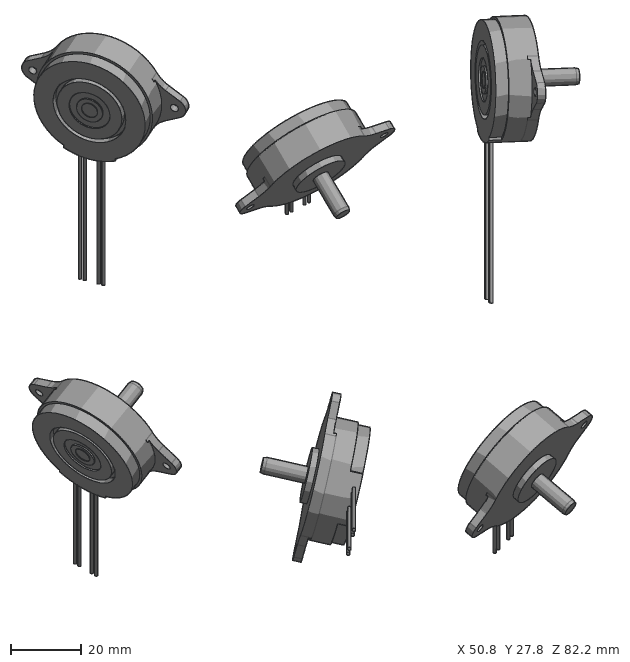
import cadquery as cq
import math


CAP_HEIGHT = 3.7
FLANGE_START = 9.6
EAR_START = 10.4
FLANGE_END = 12.9
PILOT_END = 14.8
SHAFT_END = 27.8

BODY_RADIUS = 18.0
CAP_RADIUS = 17.25
PILOT_RADIUS = 8.05
SHAFT_RADIUS = 2.5

TIP_CHAMFER_RADIAL = 0.25
TIP_CHAMFER_AXIAL = 1.0

OVERALL_WIDTH = 50.8
EAR_RADIUS = 3.45
EAR_CENTER = OVERALL_WIDTH / 2 - EAR_RADIUS
EAR_TAPER = math.radians(30)
EAR_BLEND_RADIUS = 10.7
EAR_HOLE_DIAMETER = 2.5
EAR_RELIEF_WIDTH = 16.8

GROOVE_OUTER_RADIUS = 11.25
GROOVE_INNER_RADIUS = 10.0
GROOVE_DEPTH = 2.0
RECESS_RADIUS = 6.3
RECESS_DEPTH = 0.5
BUSHING_RADIUS = 4.0
SHAFT_FACE_DEPTH = 0.25

OUTLET_WIDTH = 15.9
WIRE_DIAMETER = 1.0
WIRE_OFFSETS = (2.1, 3.6)
WIRE_LEVEL = 1.65
OVERALL_HEIGHT = 82.15
WIRE_END = BODY_RADIUS - OVERALL_HEIGHT
WIRE_EMBEDMENT = 2.5
WIRE_START = -BODY_RADIUS + WIRE_EMBEDMENT


def cylinder(radius, start, end):
    """Cylinder on the motor axis between two Y levels."""
    return cq.Workplane("XZ", origin=(0, start, 0)).circle(radius).extrude(start - end)


def polar(radius, angle):
    """Offsets along X and Z of a point given by radius and angle."""
    return radius * math.cos(angle), radius * math.sin(angle)


def flange():
    """Round flange with two tapered ears blended tangentially into it."""
    normal_angle = math.pi / 2 - EAR_TAPER
    flank_distance = EAR_CENTER * math.cos(normal_angle) + EAR_RADIUS
    blend_center_distance = BODY_RADIUS + EAR_BLEND_RADIUS
    spread = math.acos((flank_distance + EAR_BLEND_RADIUS) / blend_center_distance)
    blend_angle = normal_angle - spread
    center_x, center_z = polar(blend_center_distance, blend_angle)

    def on_blend(angle):
        dx, dz = polar(EAR_BLEND_RADIUS, angle + math.pi)
        return center_x + dx, center_z + dz

    tip_x, tip_z = polar(EAR_RADIUS, normal_angle)
    ear_start = (EAR_CENTER + tip_x, tip_z)
    flank_end = on_blend(normal_angle)
    blend_middle = on_blend((normal_angle + blend_angle) / 2)
    blend_end = on_blend(blend_angle)

    def flip(point, sign_x, sign_z):
        return sign_x * point[0], sign_z * point[1]

    outline = (
        cq.Workplane("XZ", origin=(0, FLANGE_START, 0))
        .moveTo(*flip(ear_start, 1, -1))
        .threePointArc((OVERALL_WIDTH / 2, 0), ear_start)
        .lineTo(*flank_end)
        .threePointArc(blend_middle, blend_end)
        .threePointArc((0, BODY_RADIUS), flip(blend_end, -1, 1))
        .threePointArc(flip(blend_middle, -1, 1), flip(flank_end, -1, 1))
        .lineTo(*flip(ear_start, -1, 1))
        .threePointArc((-OVERALL_WIDTH / 2, 0), flip(ear_start, -1, -1))
        .lineTo(*flip(flank_end, -1, -1))
        .threePointArc(flip(blend_middle, -1, -1), flip(blend_end, -1, -1))
        .threePointArc((0, -BODY_RADIUS), flip(blend_end, 1, -1))
        .threePointArc(flip(blend_middle, 1, -1), flip(flank_end, 1, -1))
        .close()
    )
    plate = outline.extrude(FLANGE_START - FLANGE_END)
    relief = (
        cq.Workplane("XZ", origin=(0, FLANGE_START, 0))
        .rect(OVERALL_WIDTH, EAR_RELIEF_WIDTH)
        .extrude(FLANGE_START - EAR_START)
    )
    holes = (
        cq.Workplane("XZ", origin=(0, FLANGE_START, 0))
        .pushPoints([(-EAR_CENTER, 0), (EAR_CENTER, 0)])
        .circle(EAR_HOLE_DIAMETER / 2)
        .extrude(FLANGE_START - FLANGE_END)
    )
    return plate.cut(relief).cut(holes)


def shaft():
    """Output shaft with a slender tip chamfer."""
    return (
        cq.Workplane("XY")
        .moveTo(0, FLANGE_END)
        .lineTo(SHAFT_RADIUS, FLANGE_END)
        .lineTo(SHAFT_RADIUS, SHAFT_END - TIP_CHAMFER_AXIAL)
        .lineTo(SHAFT_RADIUS - TIP_CHAMFER_RADIAL, SHAFT_END)
        .lineTo(0, SHAFT_END)
        .close()
        .revolve(360, (0, 0, 0), (0, 1, 0))
    )


def wire_outlet():
    """Segment at the bottom of the cap that is flush with the body."""
    column = (
        cq.Workplane("XY", origin=(0, CAP_HEIGHT / 2, -BODY_RADIUS))
        .rect(OUTLET_WIDTH, CAP_HEIGHT)
        .extrude(BODY_RADIUS)
    )
    return cylinder(BODY_RADIUS, 0, CAP_HEIGHT).intersect(column)


def wires():
    """Two pairs of wires hanging from the outlet."""
    positions = [(side * offset, WIRE_LEVEL) for side in (-1, 1) for offset in WIRE_OFFSETS]
    return (
        cq.Workplane("XY", origin=(0, 0, WIRE_END))
        .pushPoints(positions)
        .circle(WIRE_DIAMETER / 2)
        .extrude(WIRE_START - WIRE_END)
    )


def ring(outer_radius, inner_radius, depth):
    """Ring-shaped cutter sunk into the cap face."""
    return cylinder(outer_radius, 0, depth).cut(cylinder(inner_radius, 0, depth))


result = (
    cylinder(CAP_RADIUS, 0, CAP_HEIGHT)
    .union(wire_outlet())
    .union(cylinder(BODY_RADIUS, CAP_HEIGHT, FLANGE_END))
    .union(flange())
    .union(cylinder(PILOT_RADIUS, FLANGE_END, PILOT_END))
    .union(shaft())
    .cut(ring(GROOVE_OUTER_RADIUS, GROOVE_INNER_RADIUS, GROOVE_DEPTH))
    .cut(ring(RECESS_RADIUS, BUSHING_RADIUS, RECESS_DEPTH))
    .cut(cylinder(SHAFT_RADIUS, 0, SHAFT_FACE_DEPTH))
    .union(wires())
)